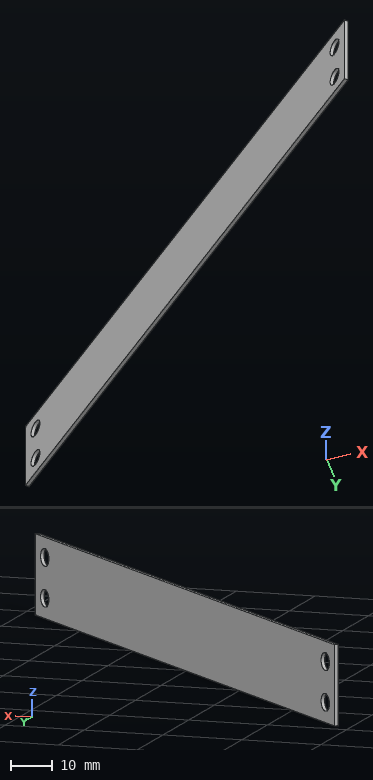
import cadquery as cq
import math

footprint = 113.16
height = 20.0
thickness = 1.0
hole_diameter = 4.3
hole_end_inset = 5.0
hole_edge_inset = 5.0
yaw = -45.0

length = footprint * math.sqrt(2) - thickness
hole_spacing_along = length - 2 * hole_end_inset
hole_spacing_up = height - 2 * hole_edge_inset


def flat_strip():
    """Strip lying along X, thin in Y and upright in Z, centred on the origin."""
    return cq.Workplane("XY").box(length, thickness, height)


def drill_corner_holes(strip):
    """Drill one through hole near each corner of the broad face."""
    return (
        strip.faces("<Y")
        .workplane(centerOption="CenterOfBoundBox")
        .rect(hole_spacing_along, hole_spacing_up, forConstruction=True)
        .vertices()
        .hole(hole_diameter)
    )


result = drill_corner_holes(flat_strip()).rotate((0, 0, 0), (0, 0, 1), yaw)